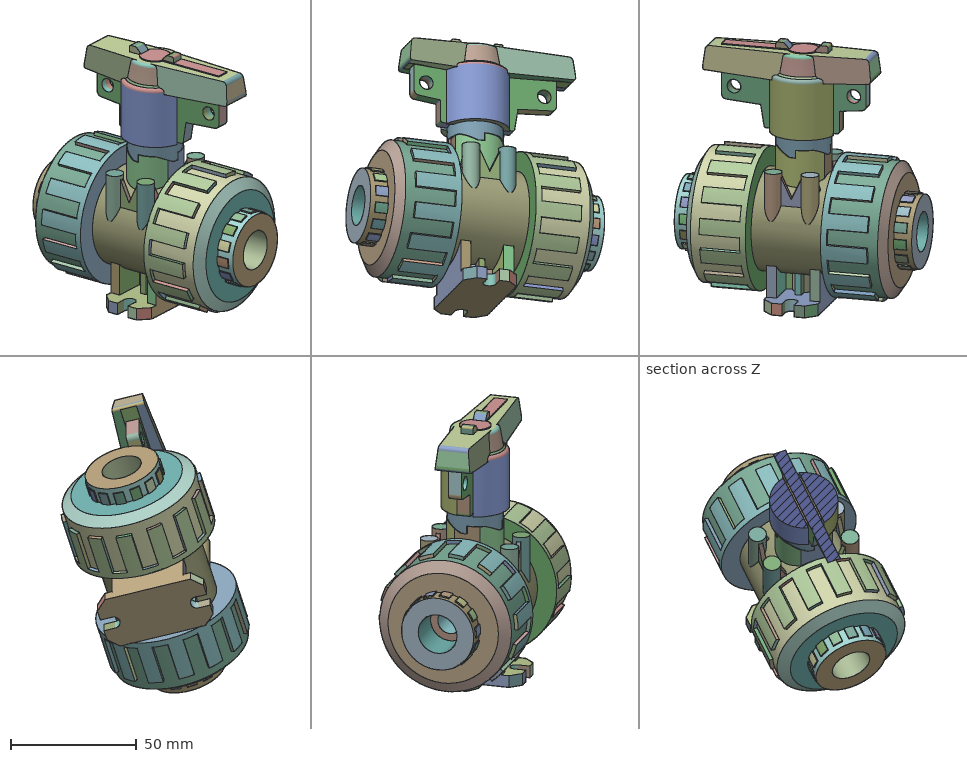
import cadquery as cq
import math


OVERLAP = 1.1

BODY_RADIUS = 21.0
BORE_RADIUS = 5.0
SOCKET_RADIUS = 8.1
SOCKET_DEPTH = 16.1
PIPE_END = 49.2
PIPE_RADIUS = 15.0

NUT_INNER_X = 15.6
NUT_OUTER_X = 41.8
NUT_RADIUS = 27.5
NUT_FACE_RADIUS = 23.0
NUT_CHAMFER_LENGTH = 3.0
NUT_FLANGE_RADIUS = 29.0
NUT_FLANGE_END = 18.1
GRIP_COUNT = 14
GRIP_END = 34.7
PITCH = 360 / GRIP_COUNT
PIPE_GRIP_RADIUS = 15.6
PIPE_GRIP_END = 47.1
PIPE_GRIP_ANGLE = 15.5
PIPE_GRIP_START = -2.6

POST_RADIUS = 3.5
POST_X = 7.6
POST_Y = 16.8
POST_TOP = 24.8
WEB_THICKNESS = 1.8
NOTCH_BOTTOM = 14.3
NOTCH_SLOPE = 2.1
SIDE_WEB_X = 8.0
SIDE_WEB_LENGTH = 6.5
SIDE_WEB_SHELF = 2.0
SIDE_WEB_TILT = 17
SIDE_WEB_BOTTOM = 11.8

BASE_BOTTOM = -33.1
BASE_TOP = -28.2
BASE_HALF_X = 11.2
BASE_HALF_Y = 21.9
BASE_CHAMFER = 4.3
BASE_SLOT_RADIUS = 2.6
BASE_SLOT_Y = 17.2
WALL_THICKNESS = 4.3
WALL_HALF_Y = 14.6
WALL_TOP = -12.9
CORE_TOP = -17.2
CORE_RADIUS = 4.4
CORE_RIB_THICKNESS = 2.6
CORE_RIB_HALF_Y = 8.1

NECK_RADIUS = 11.5
NECK_FLAT = 10.2
STEM_RADIUS = 11.2
STEM_TOP = 49.0
STOP_TOP = 32.8
STOP_BOTTOM = 29.6
STOP_COUNT = 4
STOP_START_ANGLE = 54
STOP_FLAT_ANGLE = 14

HUB_RADIUS = 13.7
HUB_BOTTOM = 37.7
HUB_SHOULDER = 61.0
HUB_SHOULDER_ROUND = 1.6
CAP_BASE = 63.3
CAP_BASE_RADIUS = 11.3
CAP_TOP_RADIUS = 9.8
CAP_ROUND = 1.5
HUB_SLOT_WIDTH = 6.7

BAR_TOP = 71.5
BAR_FLOOR = 59.9
BAR_LEFT = -29.8
BAR_RIGHT = 40.0
BAR_LEFT_HALF_Y = 7.5
BAR_MIDDLE_HALF_Y = 9.4
BAR_RIGHT_HALF_Y = 6.9
BAR_DRAFT = 6.8
BAR_END_FLOOR = 61.6
BAR_END_ROUND = 1.8
BAR_FOOT_ROUND = 1.0
BAR_TRIM = 0.4

PLATE_THICKNESS = 5.4
PLATE_LEFT = -26.7
PLATE_RIGHT = 33.3
PLATE_BOTTOM = 38.4
PLATE_CORNER_Z = 49.0
PLATE_STEP_Z = 47.8
PLATE_FOOT_X = 15.6
PLATE_STEP_RIGHT = 17.1
PLATE_ROUND = 2.2
PLATE_FOOT_ROUND = 1.1
PLATE_STEP_ROUND = 0.5
PLATE_HOLE_RADIUS = 2.8
PLATE_HOLE_Z = 54.5
PLATE_HOLES_X = (-21.5, 28.2)

MARK_TOP = 71.9
MARK_DISC_RADIUS = 6.3
MARK_STRIP_WIDTH = 5.6
TAB_TOP = 74.4
TAB_WIDTH = 5.2
TAB_INNER_X = 5.2
TAB_FLAT_X = 7.5
TAB_OUTER_X = 10.9
TAB_ROUND = 0.9


def box(x0, x1, y0, y1, z0, z1):
    return cq.Workplane("XY").box(x1 - x0, y1 - y0, z1 - z0, centered=False).translate((x0, y0, z0))


def upright(radius, z0, z1):
    return cq.Workplane("XY").workplane(offset=z0).circle(radius).extrude(z1 - z0)


def along_x(radius, x0, x1):
    return cq.Workplane("YZ").workplane(offset=x0).circle(radius).extrude(x1 - x0)


def front_profile(points, thickness):
    """Outline in X and Z, extruded evenly to both sides of Y = 0."""
    return cq.Workplane("XZ").polyline(points).close().extrude(thickness / 2, both=True)


def wedge(x0, x1, start, sweep):
    """Sector about the X axis; angles rise from -Y toward +Z."""
    reach = 2 * NUT_FLANGE_RADIUS
    corners = [(0, 0)]
    for angle in (start, start + sweep):
        turn = math.radians(angle)
        corners.append((-reach * math.cos(turn), reach * math.sin(turn)))
    return cq.Workplane("YZ").workplane(offset=x0).polyline(corners).close().extrude(x1 - x0)


def grips(radius, x0, x1, start, sweep):
    """Raised pads spaced evenly around the X axis."""
    sectors = wedge(x0, x1, start, sweep)
    for i in range(1, GRIP_COUNT):
        sectors = sectors.union(wedge(x0, x1, start + i * PITCH, sweep))
    return along_x(radius, x0, x1).intersect(sectors)


def union_end():
    """Nut and pipe end on the +X side."""
    nut = along_x(NUT_RADIUS, NUT_INNER_X, NUT_OUTER_X)
    nut = nut.faces(">X").chamfer(NUT_CHAMFER_LENGTH, NUT_RADIUS - NUT_FACE_RADIUS)
    nut = nut.union(along_x(NUT_FLANGE_RADIUS, NUT_INNER_X, NUT_FLANGE_END))
    nut = nut.union(grips(NUT_FLANGE_RADIUS, NUT_INNER_X, GRIP_END, -PITCH / 2, PITCH / 2))
    pipe = along_x(PIPE_RADIUS, 0, PIPE_END)
    pipe_start = -PIPE_GRIP_START - PIPE_GRIP_ANGLE
    pads = grips(PIPE_GRIP_RADIUS, NUT_INNER_X, PIPE_GRIP_END, pipe_start, PIPE_GRIP_ANGLE)
    return nut.union(pipe).union(pads)


def post_web():
    """V-notched web joining the two posts on the +Y side."""
    notch_half = (POST_TOP - NOTCH_BOTTOM) / NOTCH_SLOPE
    outline = [
        (-POST_X, 0),
        (POST_X, 0),
        (POST_X, POST_TOP),
        (notch_half, POST_TOP),
        (0, NOTCH_BOTTOM),
        (-notch_half, POST_TOP),
        (-POST_X, POST_TOP),
    ]
    return front_profile(outline, WEB_THICKNESS).translate((0, POST_Y, 0))


def side_web():
    """Sloping web running inward from the post at +X, +Y."""
    low = POST_TOP - NOTCH_SLOPE * (SIDE_WEB_LENGTH - SIDE_WEB_SHELF)
    outline = [
        (0, SIDE_WEB_BOTTOM),
        (-SIDE_WEB_LENGTH, SIDE_WEB_BOTTOM),
        (-SIDE_WEB_LENGTH, low),
        (-SIDE_WEB_SHELF, POST_TOP),
        (0, POST_TOP),
    ]
    web = cq.Workplane("YZ").polyline(outline).close().extrude(WEB_THICKNESS / 2, both=True)
    return web.rotate((0, 0, 0), (0, 0, 1), SIDE_WEB_TILT).translate((SIDE_WEB_X, POST_Y, 0))


def posts():
    quarter = upright(POST_RADIUS, 0, POST_TOP).translate((POST_X, POST_Y, 0)).union(side_web())
    half = quarter.union(quarter.mirror("YZ")).union(post_web())
    return half.union(half.mirror("XZ"))


def base():
    plate = box(-BASE_HALF_X, BASE_HALF_X, -BASE_HALF_Y, BASE_HALF_Y, BASE_BOTTOM, BASE_TOP)
    plate = plate.edges("|Z").chamfer(BASE_CHAMFER)
    slot_end = upright(BASE_SLOT_RADIUS, BASE_BOTTOM, BASE_TOP).translate((0, BASE_SLOT_Y, 0))
    slot_mouth = box(-BASE_SLOT_RADIUS, BASE_SLOT_RADIUS, BASE_SLOT_Y, BASE_HALF_Y, BASE_BOTTOM, BASE_TOP)
    slot = slot_end.union(slot_mouth)
    plate = plate.cut(slot).cut(slot.mirror("XZ"))
    wall_inner = BASE_HALF_X - WALL_THICKNESS
    wall = box(wall_inner, BASE_HALF_X, -WALL_HALF_Y, WALL_HALF_Y, BASE_TOP, WALL_TOP)
    rib_half = CORE_RIB_THICKNESS / 2
    long_rib = box(-rib_half, rib_half, -CORE_RIB_HALF_Y, CORE_RIB_HALF_Y, BASE_TOP, CORE_TOP)
    cross_rib = box(-wall_inner, wall_inner, -rib_half, rib_half, BASE_TOP, CORE_TOP)
    core = upright(CORE_RADIUS, BASE_TOP, CORE_TOP).union(long_rib).union(cross_rib)
    return plate.union(wall).union(wall.mirror("YZ")).union(core)


def stop_teeth():
    """Ramped teeth hanging below the stem, each with one upright stop face."""
    reach = 2 * STEM_RADIUS
    ramp_start = -STEM_RADIUS * math.sin(math.radians(STOP_START_ANGLE))
    ramp_end = -STEM_RADIUS * math.sin(math.radians(STOP_FLAT_ANGLE))
    outline = [(ramp_start, STOP_TOP), (ramp_end, STOP_BOTTOM), (0, STOP_BOTTOM), (0, STOP_TOP)]
    tooth = cq.Workplane("XZ").polyline(outline).close().extrude(reach)
    teeth = tooth
    for i in range(1, STOP_COUNT):
        teeth = teeth.union(tooth.rotate((0, 0, 0), (0, 0, 1), i * 360 / STOP_COUNT))
    return teeth


def neck_and_stem():
    teeth = stop_teeth()
    neck = upright(NECK_RADIUS, 0, STOP_TOP)
    neck = neck.intersect(box(-NECK_FLAT, NECK_FLAT, -NECK_RADIUS, NECK_RADIUS, 0, STOP_TOP)).cut(teeth)
    stem = upright(STEM_RADIUS, STOP_TOP, STEM_TOP)
    return neck.union(stem).union(upright(STEM_RADIUS, STOP_BOTTOM, STOP_TOP).intersect(teeth))


def hub():
    """Solid sleeve with a rounded shoulder and a tapered cap."""
    shoulder_radius = HUB_RADIUS - HUB_SHOULDER_ROUND
    arc_reach = HUB_SHOULDER_ROUND * math.sqrt(0.5)
    profile = (
        cq.Workplane("XZ")
        .moveTo(0, HUB_BOTTOM)
        .lineTo(HUB_RADIUS, HUB_BOTTOM)
        .lineTo(HUB_RADIUS, HUB_SHOULDER)
        .threePointArc(
            (shoulder_radius + arc_reach, HUB_SHOULDER + arc_reach),
            (shoulder_radius, HUB_SHOULDER + HUB_SHOULDER_ROUND),
        )
        .lineTo(CAP_BASE_RADIUS, CAP_BASE)
        .lineTo(CAP_TOP_RADIUS, BAR_TOP)
        .lineTo(0, BAR_TOP)
        .close()
    )
    body = profile.revolve(360, (0, 0, 0), (0, 1, 0))
    return body.faces(">Z").edges().fillet(CAP_ROUND)


def bar():
    """Drafted bar, widest at the stem, with a shallow V underside."""
    left = BAR_LEFT - BAR_TRIM
    right = BAR_RIGHT + BAR_TRIM
    outline = [
        (left, -BAR_LEFT_HALF_Y),
        (0, -BAR_MIDDLE_HALF_Y),
        (right, -BAR_RIGHT_HALF_Y),
        (right, BAR_RIGHT_HALF_Y),
        (0, BAR_MIDDLE_HALF_Y),
        (left, BAR_LEFT_HALF_Y),
    ]
    block = cq.Workplane("XY").workplane(offset=BAR_FLOOR).polyline(outline).close()
    block = block.extrude(BAR_TOP - BAR_FLOOR, taper=BAR_DRAFT)
    block = block.faces(">Z").edges("|Y").fillet(BAR_END_ROUND)
    block = block.intersect(
        box(BAR_LEFT, BAR_RIGHT, -BAR_MIDDLE_HALF_Y, BAR_MIDDLE_HALF_Y, BAR_FLOOR, BAR_TOP)
    )
    underside = front_profile(
        [
            (BAR_LEFT, BAR_END_FLOOR),
            (0, BAR_FLOOR),
            (BAR_RIGHT, BAR_END_FLOOR),
            (BAR_RIGHT, HUB_BOTTOM),
            (BAR_LEFT, HUB_BOTTOM),
        ],
        4 * BAR_MIDDLE_HALF_Y,
    )
    block = block.cut(underside)
    for end in (BAR_LEFT, BAR_RIGHT):
        block = block.edges(cq.NearestToPointSelector((end, 0, BAR_END_FLOOR))).fillet(BAR_FOOT_ROUND)
    return block


def plate():
    """Thin plate below the bar with a tie hole near each end."""
    top = BAR_END_FLOOR + OVERLAP
    left_corner = (PLATE_LEFT, PLATE_CORNER_Z)
    left_step = (-PLATE_FOOT_X, PLATE_STEP_Z)
    left_foot = (-PLATE_FOOT_X, PLATE_BOTTOM)
    right_foot = (PLATE_FOOT_X, PLATE_BOTTOM)
    right_corner = (PLATE_RIGHT, PLATE_CORNER_Z)
    outline = [
        (PLATE_LEFT, top),
        left_corner,
        left_step,
        left_foot,
        right_foot,
        (PLATE_STEP_RIGHT, PLATE_STEP_Z),
        right_corner,
        (PLATE_RIGHT, top),
    ]
    sheet = front_profile(outline, PLATE_THICKNESS)
    for points, radius in (
        ((left_corner, right_corner), PLATE_ROUND),
        ((left_foot, right_foot), PLATE_FOOT_ROUND),
        ((left_step,), PLATE_STEP_ROUND),
    ):
        for x, z in points:
            sheet = sheet.edges(cq.NearestToPointSelector((x, 0, z))).fillet(radius)
    holes = cq.Workplane("XZ").pushPoints([(x, PLATE_HOLE_Z) for x in PLATE_HOLES_X])
    return sheet.cut(holes.circle(PLATE_HOLE_RADIUS).extrude(PLATE_THICKNESS, both=True))


def markings():
    """Low disc and strip on the bar, and the two tabs that stand on it."""
    half = MARK_STRIP_WIDTH / 2
    marks = upright(MARK_DISC_RADIUS, BAR_TOP - OVERLAP, MARK_TOP)
    marks = marks.union(box(0, PLATE_RIGHT, -half, half, BAR_TOP - OVERLAP, MARK_TOP))
    tab = front_profile(
        [
            (TAB_INNER_X, BAR_TOP - OVERLAP),
            (TAB_OUTER_X, BAR_TOP - OVERLAP),
            (TAB_OUTER_X, TAB_TOP),
            (TAB_FLAT_X, TAB_TOP),
            (TAB_INNER_X, MARK_TOP),
        ],
        TAB_WIDTH,
    )
    for x in (TAB_OUTER_X, TAB_FLAT_X):
        tab = tab.edges(cq.NearestToPointSelector((x, 0, TAB_TOP))).fillet(TAB_ROUND)
    return marks.union(tab).union(tab.mirror("YZ"))


def handle():
    """Hub and bar, slotted along X so the plate stands clear inside the hub."""
    slot_half = HUB_SLOT_WIDTH / 2
    slot = box(BAR_LEFT, BAR_RIGHT, -slot_half, slot_half, HUB_BOTTOM, BAR_END_FLOOR)
    return hub().union(bar()).cut(slot).union(plate()).union(markings())


right_end = union_end()
left_end = right_end.rotate((0, 0, 0), (0, 0, 1), 180)
sockets = along_x(SOCKET_RADIUS, PIPE_END - SOCKET_DEPTH, PIPE_END)
flow_path = along_x(BORE_RADIUS, -PIPE_END, PIPE_END).union(sockets).union(sockets.mirror("YZ"))

result = along_x(BODY_RADIUS, -NUT_INNER_X, NUT_INNER_X).union(right_end).union(left_end)
for feature in (posts(), base(), neck_and_stem()):
    result = result.union(feature)
result = result.cut(flow_path).union(handle())